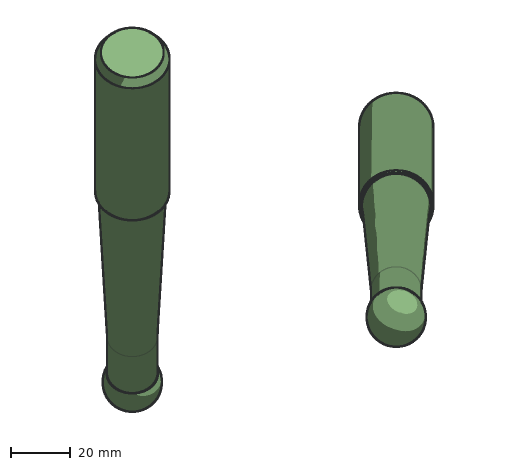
import cadquery as cq
import math

total_length = 190.99
shank_diameter = 25.0
shank_bottom = 114.4
shank_edge_chamfer = 0.6
end_chamfer_height = 3.4
end_chamfer_angle = 30.0
taper_top_diameter = 22.9
taper_bottom = 35.0
neck_diameter = 16.95
ball_diameter = 20.0
ball_tip_height = 15.0

shank_radius = shank_diameter / 2
taper_top_radius = taper_top_diameter / 2
neck_radius = neck_diameter / 2
ball_radius = ball_diameter / 2
end_face_radius = shank_radius - end_chamfer_height * math.tan(math.radians(end_chamfer_angle))
ball_flat_radius = math.sqrt(ball_radius**2 - (ball_tip_height - ball_radius)**2)


def turn_about_z(half_profile):
    """Close a half profile and turn it a full revolution around the Z axis."""
    return half_profile.close().revolve(360, (0, 0, 0), (0, 1, 0))


def make_holder():
    """Chamfered shank, long taper and straight neck, turned as one piece."""
    half_profile = (
        cq.Workplane("YZ")
        .moveTo(0, ball_tip_height)
        .lineTo(neck_radius, ball_tip_height)
        .lineTo(neck_radius, taper_bottom)
        .lineTo(taper_top_radius, shank_bottom)
        .lineTo(shank_radius - shank_edge_chamfer, shank_bottom)
        .lineTo(shank_radius, shank_bottom + shank_edge_chamfer)
        .lineTo(shank_radius, total_length - end_chamfer_height)
        .lineTo(end_face_radius, total_length)
        .lineTo(0, total_length)
    )
    return turn_about_z(half_profile)


def make_ball_tip():
    """Ball with a flat on top, seated against the end of the neck."""
    half_profile = (
        cq.Workplane("YZ")
        .moveTo(0, 0)
        .threePointArc((ball_radius, ball_radius), (ball_flat_radius, ball_tip_height))
        .lineTo(0, ball_tip_height)
    )
    return turn_about_z(half_profile)


holder = make_holder()
ball_tip = make_ball_tip()

result = cq.Compound.makeCompound([holder.val(), ball_tip.val()])